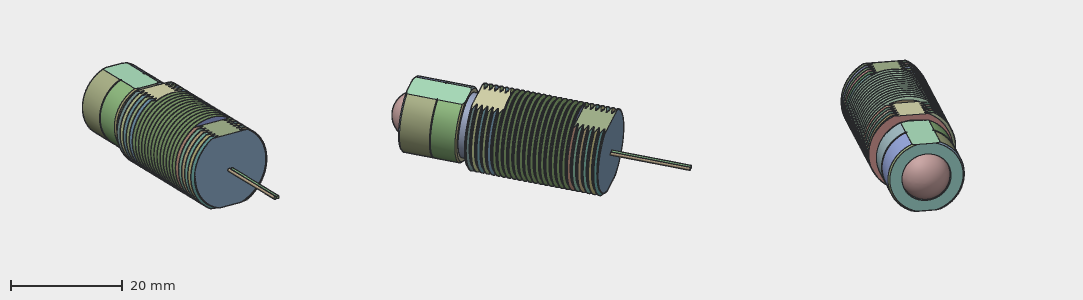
import cadquery as cq
import math

overall_length = 56.01
ball_protrusion = 3.15
head_length = 11.0
head_seam_offset = 6.0
neck_length = 1.6
body_length = 25.3

ball_radius = 4.5
head_radius = 7.0
head_flat_height = 6.5
head_chamfer = 0.3
seam_depth = 0.1
neck_radius = 6.0

thread_radius = 8.0
thread_pitch = 1.0
thread_half_angle = math.radians(30)
thread_depth = 0.6134 * thread_pitch
crest_width = thread_pitch / 8
root_width = thread_pitch - crest_width - 2 * thread_depth * math.tan(thread_half_angle)
body_flat_height = 7.0
front_flat_length = 5.9
rear_flat_length = 6.0

wire_radius = 0.3
wire_spacing = 0.58

head_front = ball_protrusion
head_rear = head_front + head_length
head_seam = head_front + head_seam_offset
body_front = head_rear + neck_length
body_rear = body_front + body_length


def cylinder(x_start, x_end, radius):
    """Cylinder on the X axis."""
    return cq.Workplane("YZ").workplane(offset=x_start).circle(radius).extrude(x_end - x_start)


def cut_flat_pair(part, x_start, x_end, height):
    """Remove everything beyond Z = +/- height between the two X stations."""
    length = x_end - x_start
    depth = 2 * thread_radius
    for side in (1, -1):
        slab = cq.Workplane("XY").box(length, 2 * depth, depth)
        part = part.cut(slab.translate((x_start + length / 2, 0, side * (height + depth / 2))))
    return part


def make_head():
    """Turned head with chamfered ends, a V seam, two flats and a ball in its socket."""
    head = (
        cq.Workplane("XY")
        .moveTo(head_front, 0)
        .lineTo(head_front, head_radius - head_chamfer)
        .lineTo(head_front + head_chamfer, head_radius)
        .lineTo(head_seam - seam_depth, head_radius)
        .lineTo(head_seam, head_radius - seam_depth)
        .lineTo(head_seam + seam_depth, head_radius)
        .lineTo(head_rear - head_chamfer, head_radius)
        .lineTo(head_rear, head_radius - head_chamfer)
        .lineTo(head_rear, 0)
        .close()
        .revolve(360, (0, 0, 0), (1, 0, 0))
    )
    head = cut_flat_pair(head, head_front, head_rear, head_flat_height)
    socket = cylinder(head_front, ball_radius, ball_radius)
    arc_offset = ball_radius * math.sqrt(0.5)
    ball = (
        cq.Workplane("XY")
        .threePointArc((ball_radius - arc_offset, arc_offset), (ball_radius, ball_radius))
        .lineTo(ball_radius, 0)
        .close()
        .revolve(360, (0, 0, 0), (1, 0, 0))
    )
    return head.cut(socket).union(ball)


def make_thread_groove():
    """Right-hand helical groove that runs past both ends of the body."""
    start = body_front - 1.25 * thread_pitch
    helix_length = body_length + 3 * thread_pitch
    root_radius = thread_radius - thread_depth
    overcut = 0.05
    root_half = root_width / 2
    mouth_half = root_half + (thread_depth + overcut) * math.tan(thread_half_angle)
    mouth_radius = thread_radius + overcut
    path = cq.Wire.makeHelix(
        thread_pitch, helix_length, root_radius, cq.Vector(start, 0, 0), cq.Vector(1, 0, 0)
    )
    profile = (
        cq.Workplane("XZ")
        .moveTo(start - root_half, root_radius)
        .lineTo(start - mouth_half, mouth_radius)
        .lineTo(start + mouth_half, mouth_radius)
        .lineTo(start + root_half, root_radius)
        .close()
    )
    return profile.sweep(cq.Workplane(obj=path), isFrenet=True)


def make_body():
    """Threaded body with a pair of flats at each end."""
    spare_length = 4 * thread_pitch
    bar = cylinder(body_front - spare_length, body_rear + spare_length, thread_radius)
    envelope_width = 4 * thread_radius
    envelope = cq.Workplane("XY").box(body_length, envelope_width, envelope_width)
    envelope = envelope.translate((body_front + body_length / 2, 0, 0))
    envelope = cut_flat_pair(envelope, body_front, body_front + front_flat_length, body_flat_height)
    envelope = cut_flat_pair(envelope, body_rear - rear_flat_length, body_rear, body_flat_height)
    return bar.cut(make_thread_groove()).intersect(envelope)


def make_wires():
    """Twin-lead cable leaving the rear face."""
    wires = cylinder(body_rear, overall_length, wire_radius).translate((0, wire_spacing / 2, 0))
    return wires.union(wires.mirror("XZ"))


neck = cylinder(head_rear, body_front, neck_radius)
result = make_head().union(neck).union(make_body()).union(make_wires())